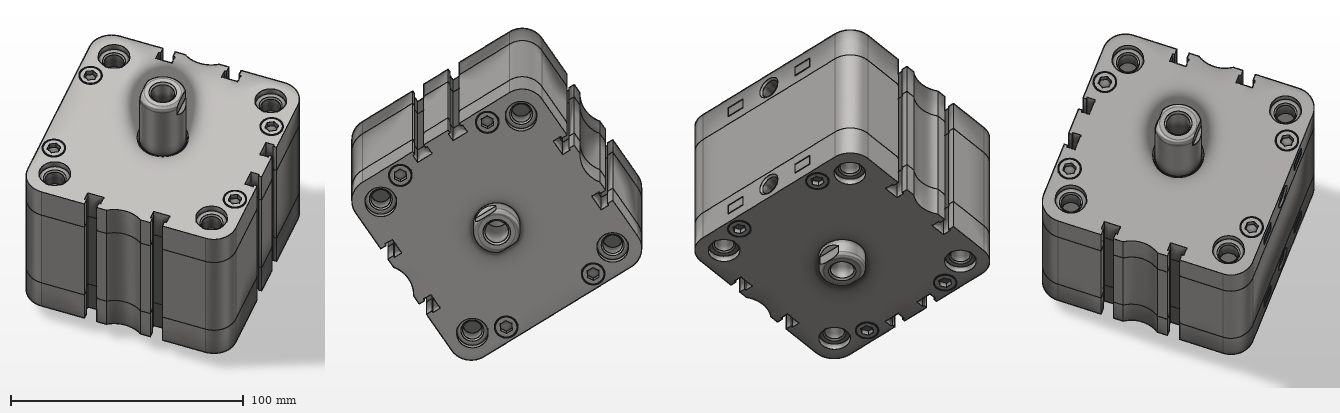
import cadquery as cq
import math


total_length = 112
side = 95.5
corner_radius = 10.1
body_height = 73.8
cap_height = 15.0
barrel_height = body_height - 2 * cap_height

slot_mouth_width = 5.6
slot_chamber_width = 7.4
y_slot_offset = 15.1
y_slot_mouth_depth = 2.8
y_slot_depth = 6.5
x_slot_offset = 9.1
x_slot_mouth_depth = 1.6
x_slot_depth = 5.3

flute_half_width = 7.8
flute_depth = 2.5

mount_offset = 36.0
mount_counterbore_diameter = 13.5
mount_counterbore_depth = 3.1
mount_chamfer_diameter = 9.9
mount_hole_diameter = 8.4
mount_hole_depth = 11.2

screw_x = 41.5
screw_y = 22.3
screw_recess_diameter = 10.1
screw_head_diameter = 9.9
screw_head_chamfer = 0.3
screw_gap_depth = 1.0
screw_hex_flats = 5.0
screw_hex_depth = 2.6

port_drop = 8.0
port_chamfer_diameter = 10.3
port_diameter = 8.5
port_depth = 10.1
panel_offset = 19
panel_drop = 7.7
panel_width = 8.4
panel_height = 5.0
panel_depth = 0.2

rod_diameter = 20.0
rod_lower_length = 9.2
rod_end_radius = 2.0
flats_width = 17.0
flats_length = 5.6
rod_bore_diameter = 10.1
rod_bore_chamfer_diameter = 11.8
rod_bore_depth = 20.2
drill_point_angle = 120

wiper_diameter = 22.0
wiper_seat_depth = 4.5
wiper_drop = 0.5
wiper_lip_diameter = 20.6
wiper_lip_depth = 1.0


def disc(radius, start, end):
    """Cylinder on the Z axis between two heights."""
    return cq.Workplane("XY").workplane(offset=start).circle(radius).extrude(end - start)


def block(x_size, y_size, height):
    """Box standing on z = 0 and centred on the axis."""
    return cq.Workplane("XY").box(x_size, y_size, height, centered=(True, True, False))


def sensor_slot(depth, mouth_depth, height):
    """Cutter for one slot, opening toward +X at x = 0."""
    chamber_length = depth - mouth_depth
    mouth = block(2 * mouth_depth, slot_mouth_width, height)
    chamber = block(chamber_length, slot_chamber_width, height)
    return mouth.union(chamber.translate((-mouth_depth - chamber_length / 2, 0, 0)))


def profile_body(height):
    """Extruded profile shared by the barrel and the caps."""
    half = side / 2
    body = block(side, side, height).edges("|Z").fillet(corner_radius)
    x_slot = sensor_slot(x_slot_depth, x_slot_mouth_depth, height)
    for sign in (-1, 1):
        body = body.cut(x_slot.translate((half, sign * x_slot_offset, 0)))

    y_slot = sensor_slot(y_slot_depth, y_slot_mouth_depth, height)
    y_slot = y_slot.rotate((0, 0, 0), (0, 0, 1), 90)
    flute = (
        cq.Workplane("XY")
        .moveTo(-flute_half_width, half)
        .threePointArc((0, half - flute_depth), (flute_half_width, half))
        .close()
        .extrude(height)
    )
    y_side = flute
    for sign in (-1, 1):
        y_side = y_side.union(y_slot.translate((sign * y_slot_offset, half, 0)))
    return body.cut(y_side).cut(y_side.mirror("XZ"))


def chamfered_hole(mouth_diameter, diameter, depth):
    """Cutter for a flat-ended hole going down from z = 0, with a 45 degree mouth chamfer."""
    radius = diameter / 2
    mouth_radius = mouth_diameter / 2
    return (
        cq.Workplane("XZ")
        .polyline([
            (0, 0),
            (mouth_radius, 0),
            (radius, radius - mouth_radius),
            (radius, -depth),
            (0, -depth),
        ])
        .close()
        .revolve(360, (0, 0, 0), (0, 1, 0))
    )


def mounting_hole():
    """Cutter for a counterbored mounting hole going down from z = 0."""
    threaded_depth = mount_hole_depth - mount_counterbore_depth
    hole = chamfered_hole(mount_chamfer_diameter, mount_hole_diameter, threaded_depth)
    counterbore = disc(mount_counterbore_diameter / 2, -mount_counterbore_depth, 0)
    return counterbore.union(hole.translate((0, 0, -mount_counterbore_depth)))


def screw_outline():
    """Cutter that leaves a chamfered screw head with a hex socket, going down from z = 0."""
    head = disc(screw_head_diameter / 2, -screw_gap_depth, 0)
    head = head.faces(">Z").chamfer(screw_head_chamfer)
    gap = disc(screw_recess_diameter / 2, -screw_gap_depth, 0).cut(head)
    hex_turn = 30
    hex_corner_diameter = screw_hex_flats / math.cos(math.pi / 6)
    socket = cq.Workplane("XY").polygon(6, hex_corner_diameter).extrude(-screw_hex_depth)
    return gap.union(socket.rotate((0, 0, 0), (0, 0, 1), hex_turn))


def end_cap():
    """Cap with its inner face on z = 0 and its outer face up."""
    cap = profile_body(cap_height)
    mount = mounting_hole()
    screw = screw_outline()
    for x_sign in (-1, 1):
        for y_sign in (-1, 1):
            cap = cap.cut(mount.translate((x_sign * mount_offset, y_sign * mount_offset, cap_height)))
            cap = cap.cut(screw.translate((x_sign * screw_x, y_sign * screw_y, cap_height)))

    port = chamfered_hole(port_chamfer_diameter, port_diameter, port_depth)
    port = port.rotate((0, 0, 0), (0, 1, 0), -90)
    cap = cap.cut(port.translate((-side / 2, 0, cap_height - port_drop)))
    for y_sign in (-1, 1):
        panel = cq.Workplane("XY").box(2 * panel_depth, panel_width, panel_height)
        cap = cap.cut(panel.translate((-side / 2, y_sign * panel_offset, cap_height - panel_drop)))
    return cap.cut(disc(rod_diameter / 2, 0, cap_height))


def rod_end_cutter():
    """Cutter for the wrench flats and the tapped bore of a rod end at z = 0, rod below."""
    radius = rod_diameter / 2
    flat_x = flats_width / 2
    slope_end = flats_length + radius - flat_x
    flat = (
        cq.Workplane("XZ")
        .polyline([(flat_x, 0), (flat_x, -flats_length), (radius, -slope_end), (radius, 0)])
        .close()
        .extrude(radius, both=True)
    )
    bore = chamfered_hole(rod_bore_chamfer_diameter, rod_bore_diameter, rod_bore_depth)
    bore_radius = rod_bore_diameter / 2
    point_height = bore_radius / math.tan(math.radians(drill_point_angle / 2))
    point = cq.Workplane("XY").add(cq.Solid.makeCone(
        bore_radius, 0, point_height,
        pnt=cq.Vector(0, 0, -rod_bore_depth), dir=cq.Vector(0, 0, -1),
    ))
    return bore.union(point).union(flat).union(flat.mirror("YZ"))


def through_rod():
    """Rod running through both caps and the barrel."""
    bottom = -rod_lower_length
    top = total_length - rod_lower_length
    cutter = rod_end_cutter()
    rod = disc(rod_diameter / 2, bottom, top).faces("<Z or >Z").edges().fillet(rod_end_radius)
    rod = rod.cut(cutter.translate((0, 0, top)))
    return rod.cut(cutter.mirror("XY").translate((0, 0, bottom)))


def rod_wiper():
    """Ring around the rod, just below the cap face, with a narrow open gap above its lip."""
    top = body_height - wiper_drop
    bottom = body_height - wiper_seat_depth
    ring = disc(wiper_diameter / 2, bottom, top).cut(disc(rod_diameter / 2, bottom, top))
    return ring.cut(disc(wiper_lip_diameter / 2, top - wiper_lip_depth, top))


barrel = profile_body(barrel_height).cut(disc(rod_diameter / 2, 0, barrel_height))
barrel = barrel.translate((0, 0, cap_height))

cap = end_cap()
lower_cap = cap.rotate((0, 0, 0), (1, 0, 0), 180).translate((0, 0, cap_height))
wiper_seat = disc(wiper_diameter / 2, body_height - wiper_seat_depth, body_height)
upper_cap = cap.translate((0, 0, body_height - cap_height)).cut(wiper_seat)

rod = through_rod()
wiper = rod_wiper()

result = cq.Compound.makeCompound([
    barrel.val(),
    lower_cap.val(),
    upper_cap.val(),
    rod.val(),
    wiper.val(),
])